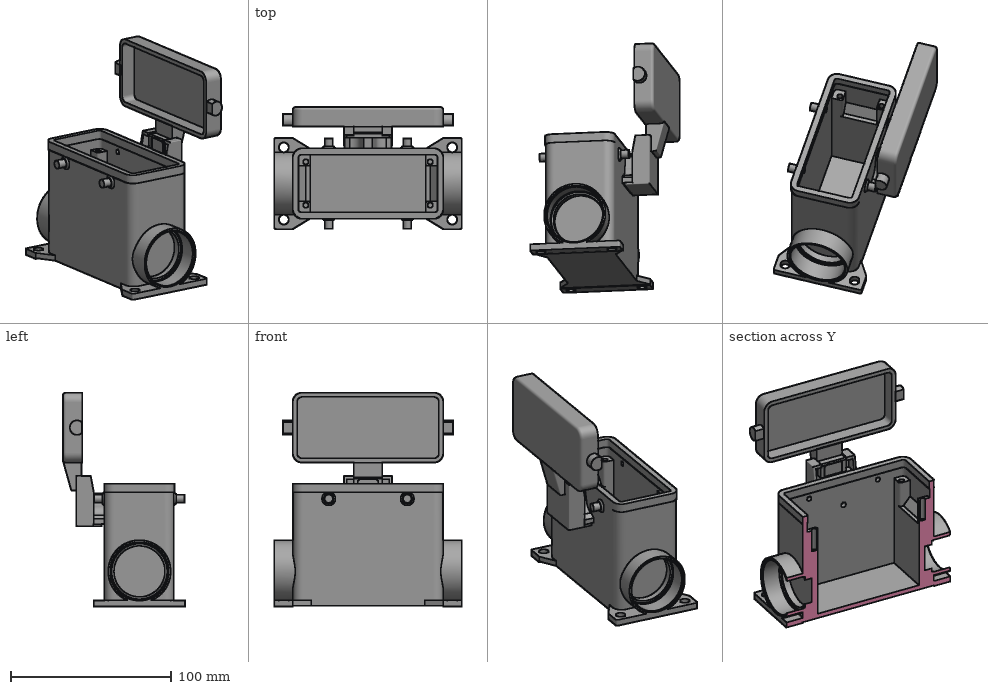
import cadquery as cq

BODY_LENGTH = 94.0
BODY_WIDTH = 44.0
BODY_CORNER_R = 6.0
BODY_BOTTOM_Z = 0.5
RIM_BOTTOM_Z = 71.25
RIM_TOP_Z = 76.75
FRONT_SETBACK = 0.5
SIDE_SETBACK = 0.1
FLOOR_Z = 4.0
OPENING_LENGTH = 86.5
OPENING_WIDTH = 35.75
OPENING_CORNER_R = 1.6
CAVITY_UNDERCUT = 0.25
CAVITY_CORNER_R = 2.5

OVERALL_LENGTH = 117.0
FLANGE_WIDTH = 57.0
FLANGE_TOP_Z = 4.0
FLANGE_CORNER_R = 1.2
FLANGE_TAPER_END_X = 35.5
MOUNT_HOLE_D = 6.0
MOUNT_HOLE_X = 52.5
MOUNT_HOLE_Y = 22.5

ENTRY_Z = 22.0
ENTRY_OUTER_R = 19.5
ENTRY_BORE_R = 17.6
ENTRY_MOUTH_CHAMFER = 0.7
ENTRY_INNER_R = 15.9
ENTRY_SEAT_R = 17.3
ENTRY_SEAT_X = 46.5
ENTRY_SHOULDER_X = 45.3
ENTRY_END_X = 40.5

POST_INNER_X = 36.0
POST_INNER_Y = 11.0
POST_TOP_Z = 65.0
POST_CORNER_R = 1.2
POST_HOLE_D = 3.3
POST_HOLE_X = 38.8
POST_HOLE_Y = 13.5
POST_HOLE_DEPTH = 15.0
RAMP_LOW_X = 38.75
RAMP_LOW_Z = 48.0
RAMP_HIGH_Z = 53.5

PIN_X = 24.5
PIN_Z = 67.3
PIN_R = 2.6
PIN_TIP_Y = 28.2
COLLAR_BASE_R = 4.2
COLLAR_TIP_R = 3.0
COLLAR_HEIGHT = 1.3
WALL_HOLE_D = 3.0
HINGE_HOLE_D = 3.4
HINGE_HOLE_Z = 56.0

BOSS_BASE_Z = 51.5
BOSS_TOP_Z = 70.7
BOSS_TOP_HALF = 2.8
BOSS_BASE_HALF = 14.7
BRACKET_WIDTH = 30.0
BRACKET_BACK_Y = 39.5
BRACKET_FRONT_Y = 28.4
BRACKET_TOP_FRONT_Y = 30.3
BRACKET_FOOT_Y = 23.5
BRACKET_BOTTOM_Z = 50.0
BRACKET_TOP_Z = 81.5
BRACKET_SLOPE_Z = 71.2
BRACKET_SIDE_WALL = 1.8
BRACKET_EAR_THICKNESS = 2.0
BRACKET_EDGE_R = 0.4
POCKET_BACK_Y = 35.0
WEB_HALF = 9.0
WEB_TOP_Z = 80.6
WEB_FRONT_Y = 31.0
WEB_TOP_CHAMFER = 0.9
RECESS_WIDTH = 12.5
RECESS_TOP_Z = 79.4
RECESS_CORNER = 1.0
RECESS_BACK_Y = 31.6

COVER_TOP_Z = 133.5
COVER_HEIGHT = 43.75
COVER_FRONT_Y = 35.5
COVER_BACK_Y = 47.75
COVER_WALL = 2.75
COVER_CAVITY_DEPTH = 9.0
COVER_BACK_EDGE_R = 2.0
LUG_SPAN = 106.0
LUG_R = 4.5
LUG_Y = 38.9
LUG_FLAT_Y = 36.05
TONGUE_WIDTH = 18.0
TONGUE_FRONT_Y = 36.1
TONGUE_BOTTOM_Z = 72.3
TONGUE_BOTTOM_BACK_Y = 42.5
TONGUE_TOP_Z = 91.0
TONGUE_EDGE_R = 0.7

BODY_HALF_LENGTH = BODY_LENGTH / 2
BODY_HALF_WIDTH = BODY_WIDTH / 2
FRONT_FACE_Y = -(BODY_HALF_WIDTH - FRONT_SETBACK)
CAVITY_LENGTH = OPENING_LENGTH + 2 * CAVITY_UNDERCUT
CAVITY_WIDTH = OPENING_WIDTH + 2 * CAVITY_UNDERCUT
HALF_LENGTH = OVERALL_LENGTH / 2
COVER_MID_Z = COVER_TOP_Z - COVER_HEIGHT / 2
SIDES = (-1, 1)


def block(x_range, y_range, z_range):
    """Box between two limits on each axis."""
    (x0, x1), (y0, y1), (z0, z1) = x_range, y_range, z_range
    return cq.Workplane("XY").box(x1 - x0, y1 - y0, z1 - z0, centered=False).translate((x0, y0, z0))


def rounded_block(length, y_range, z_range, radius):
    """Box centred on X with rounded vertical edges."""
    return block((-length / 2, length / 2), y_range, z_range).edges("|Z").fillet(radius)


def rod(axis, start, end, radius):
    """Cylinder between two points that lie along the given axis direction."""
    length = (cq.Vector(*end) - cq.Vector(*start)).Length
    return cq.Workplane(obj=cq.Solid.makeCylinder(radius, length, cq.Vector(*start), cq.Vector(*axis)))


def along_x(profile, width):
    """Extrude a closed list of (y, z) points, centred on X."""
    return cq.Workplane("YZ").polyline(profile).close().extrude(width / 2, both=True)


def make_shell():
    lower = rounded_block(
        BODY_LENGTH - 2 * SIDE_SETBACK,
        (FRONT_FACE_Y, BODY_HALF_WIDTH),
        (BODY_BOTTOM_Z, RIM_BOTTOM_Z),
        BODY_CORNER_R,
    )
    rim = rounded_block(
        BODY_LENGTH, (-BODY_HALF_WIDTH, BODY_HALF_WIDTH), (RIM_BOTTOM_Z, RIM_TOP_Z), BODY_CORNER_R
    )
    return lower.union(rim)


def make_cavity():
    cavity = rounded_block(
        CAVITY_LENGTH, (-CAVITY_WIDTH / 2, CAVITY_WIDTH / 2), (FLOOR_Z, RIM_BOTTOM_Z), CAVITY_CORNER_R
    )
    opening = rounded_block(
        OPENING_LENGTH, (-OPENING_WIDTH / 2, OPENING_WIDTH / 2), (RIM_BOTTOM_Z, RIM_TOP_Z), OPENING_CORNER_R
    )
    return cavity.union(opening)


def make_flange(side):
    """End flange; its foot beyond the body drops slightly below the body."""
    half = FLANGE_WIDTH / 2
    inner_y = -FRONT_FACE_Y
    plate = (
        cq.Workplane("XY")
        .polyline([
            (FLANGE_TAPER_END_X, -inner_y),
            (BODY_HALF_LENGTH, -half),
            (HALF_LENGTH, -half),
            (HALF_LENGTH, half),
            (BODY_HALF_LENGTH, half),
            (FLANGE_TAPER_END_X, inner_y),
        ])
        .close()
        .extrude(FLANGE_TOP_Z)
        .edges("|Z and >X")
        .fillet(FLANGE_CORNER_R)
    )
    relief = block((0, BODY_HALF_LENGTH), (-half, half), (0, BODY_BOTTOM_Z))
    holes = (
        cq.Workplane("XY")
        .pushPoints([(MOUNT_HOLE_X, y * MOUNT_HOLE_Y) for y in SIDES])
        .circle(MOUNT_HOLE_D / 2)
        .extrude(FLANGE_TOP_Z)
    )
    flange = plate.cut(relief).cut(holes)
    return flange if side > 0 else flange.mirror("YZ")


def make_entry_tube(side):
    """Round cable entry, rooted in the end wall as far as the rounded corners reach."""
    root = (side * (BODY_HALF_LENGTH - BODY_CORNER_R), 0, ENTRY_Z)
    return rod((side, 0, 0), root, (side * HALF_LENGTH, 0, ENTRY_Z), ENTRY_OUTER_R)


def make_entry_bore(side):
    """Stepped blind bore with a chamfered mouth, turned about the entry axis."""
    mouth_x = HALF_LENGTH - ENTRY_MOUTH_CHAMFER
    bore = (
        cq.Workplane("XY")
        .polyline([
            (ENTRY_END_X, 0),
            (ENTRY_END_X, ENTRY_INNER_R),
            (ENTRY_SHOULDER_X, ENTRY_INNER_R),
            (ENTRY_SHOULDER_X, ENTRY_SEAT_R),
            (ENTRY_SEAT_X, ENTRY_SEAT_R),
            (ENTRY_SEAT_X, ENTRY_BORE_R),
            (mouth_x, ENTRY_BORE_R),
            (HALF_LENGTH, ENTRY_BORE_R + ENTRY_MOUTH_CHAMFER),
            (HALF_LENGTH, 0),
        ])
        .close()
        .revolve(360, (0, 0, 0), (1, 0, 0))
        .translate((0, 0, ENTRY_Z))
    )
    return bore if side > 0 else bore.mirror("YZ")


def make_end_structure(side):
    """Two corner posts joined by a wall with a ramped top, inside one end of the cavity."""
    wall_x = CAVITY_LENGTH / 2
    wall = (
        cq.Workplane("XZ")
        .polyline([
            (POST_INNER_X, BODY_BOTTOM_Z),
            (wall_x, BODY_BOTTOM_Z),
            (wall_x, RAMP_HIGH_Z),
            (RAMP_LOW_X, RAMP_LOW_Z),
            (POST_INNER_X, RAMP_LOW_Z),
        ])
        .close()
        .extrude(CAVITY_WIDTH / 2, both=True)
    )
    for y_side in SIDES:
        y_limits = sorted((y_side * POST_INNER_Y, y_side * CAVITY_WIDTH / 2))
        post = block((POST_INNER_X, wall_x), y_limits, (BODY_BOTTOM_Z, POST_TOP_Z))
        post = post.edges("|Z and <X and " + ("<Y" if y_side > 0 else ">Y")).fillet(POST_CORNER_R)
        wall = wall.union(post)
    holes = (
        cq.Workplane("XY")
        .workplane(offset=POST_TOP_Z)
        .pushPoints([(POST_HOLE_X, y * POST_HOLE_Y) for y in SIDES])
        .circle(POST_HOLE_D / 2)
        .extrude(-POST_HOLE_DEPTH)
    )
    envelope = rounded_block(
        CAVITY_LENGTH, (-CAVITY_WIDTH / 2, CAVITY_WIDTH / 2), (BODY_BOTTOM_Z, POST_TOP_Z), CAVITY_CORNER_R
    )
    structure = wall.cut(holes)
    if side < 0:
        structure = structure.mirror("YZ")
    return structure.intersect(envelope)


def make_pin(x, y_side):
    """Locking pin with a conical collar, standing on the front or the back face."""
    face_y = FRONT_FACE_Y if y_side < 0 else BODY_HALF_WIDTH
    direction = cq.Vector(0, y_side, 0)
    base = cq.Vector(x, face_y, PIN_Z)
    pin = cq.Solid.makeCylinder(PIN_R, PIN_TIP_Y - abs(face_y), base, direction)
    collar = cq.Solid.makeCone(COLLAR_BASE_R, COLLAR_TIP_R, COLLAR_HEIGHT, base, direction)
    return cq.Workplane(obj=pin.fuse(collar))


def make_wall_holes():
    """Holes behind the locking pins, and one more that reaches the hinge boss."""
    inner_y = CAVITY_WIDTH / 2
    holes = rod((0, 1, 0), (0, inner_y, HINGE_HOLE_Z), (0, BODY_HALF_WIDTH, HINGE_HOLE_Z), HINGE_HOLE_D / 2)
    for x_side in SIDES:
        x = x_side * PIN_X
        holes = holes.union(
            rod((0, 1, 0), (x, FRONT_FACE_Y, PIN_Z), (x, -inner_y, PIN_Z), WALL_HOLE_D / 2)
        ).union(
            rod((0, 1, 0), (x, inner_y, PIN_Z), (x, BODY_HALF_WIDTH, PIN_Z), WALL_HOLE_D / 2)
        )
    return holes


def make_hinge_boss():
    """Bell-shaped boss joining the back wall to the bracket."""
    half = BOSS_BASE_HALF
    shoulder = (11.3, 57.0)
    waist = (4.9, 63.0)
    curve_mid = (7.0, 58.6)
    side_top_z = 54.8
    return (
        cq.Workplane("XZ", origin=(0, BRACKET_FRONT_Y, 0))
        .moveTo(-half, BOSS_BASE_Z)
        .lineTo(half, BOSS_BASE_Z)
        .lineTo(half, side_top_z)
        .lineTo(*shoulder)
        .threePointArc(curve_mid, waist)
        .lineTo(BOSS_TOP_HALF, BOSS_TOP_Z)
        .lineTo(-BOSS_TOP_HALF, BOSS_TOP_Z)
        .lineTo(-waist[0], waist[1])
        .threePointArc((-curve_mid[0], curve_mid[1]), (-shoulder[0], shoulder[1]))
        .lineTo(-half, side_top_z)
        .close()
        .extrude(BRACKET_FRONT_Y - BODY_HALF_WIDTH)
    )


def make_bracket():
    """Hinge bracket: two hollow ears beside a recessed web, with a foot under the boss."""
    half = BRACKET_WIDTH / 2
    bracket = along_x(
        [
            (BRACKET_BACK_Y, BRACKET_BOTTOM_Z),
            (BRACKET_BACK_Y, BRACKET_TOP_Z),
            (BRACKET_TOP_FRONT_Y, BRACKET_TOP_Z),
            (BRACKET_FRONT_Y, BRACKET_SLOPE_Z),
            (BRACKET_FRONT_Y, BOSS_BASE_Z),
            (BRACKET_FOOT_Y, BOSS_BASE_Z),
            (BRACKET_FOOT_Y, BRACKET_BOTTOM_Z),
        ],
        BRACKET_WIDTH,
    )
    bracket = bracket.faces("<X or >X").edges().fillet(BRACKET_EDGE_R)

    bracket = bracket.cut(
        block((-WEB_HALF, WEB_HALF), (0, WEB_FRONT_Y), (BRACKET_SLOPE_Z, BRACKET_TOP_Z))
    ).cut(
        block((-WEB_HALF, WEB_HALF), (0, BRACKET_BACK_Y), (WEB_TOP_Z, BRACKET_TOP_Z))
    )
    bevel = along_x(
        [
            (WEB_FRONT_Y, WEB_TOP_Z),
            (WEB_FRONT_Y + WEB_TOP_CHAMFER, WEB_TOP_Z),
            (WEB_FRONT_Y, WEB_TOP_Z - WEB_TOP_CHAMFER),
        ],
        2 * WEB_HALF,
    )
    bracket = bracket.cut(bevel)
    pocket_outer = half - BRACKET_SIDE_WALL
    for side in SIDES:
        x_limits = sorted((side * WEB_HALF, side * pocket_outer))
        bracket = bracket.cut(
            block(x_limits, (0, POCKET_BACK_Y), (BRACKET_SLOPE_Z, BRACKET_TOP_Z - BRACKET_EAR_THICKNESS))
        )
    recess = block(
        (-RECESS_WIDTH / 2, RECESS_WIDTH / 2), (WEB_FRONT_Y, RECESS_BACK_Y), (BRACKET_SLOPE_Z, RECESS_TOP_Z)
    )
    recess = recess.faces(">Z").edges("|Y").chamfer(RECESS_CORNER)
    return bracket.cut(recess)


def make_tongue():
    """Tapered arm below the cover that sits in the hinge bracket."""
    tongue = along_x(
        [
            (TONGUE_FRONT_Y, TONGUE_BOTTOM_Z),
            (TONGUE_BOTTOM_BACK_Y, TONGUE_BOTTOM_Z),
            (COVER_BACK_Y, TONGUE_TOP_Z),
            (TONGUE_FRONT_Y, TONGUE_TOP_Z),
        ],
        TONGUE_WIDTH,
    )
    return tongue.faces(">Y").edges("not >Z").fillet(TONGUE_EDGE_R)


def make_cover_lugs():
    """Round locking lugs on both ends, cut flat toward the open side."""
    lugs = rod((1, 0, 0), (-LUG_SPAN / 2, LUG_Y, COVER_MID_Z), (LUG_SPAN / 2, LUG_Y, COVER_MID_Z), LUG_R)
    flat = block(
        (-LUG_SPAN / 2, LUG_SPAN / 2), (LUG_Y - LUG_R, LUG_FLAT_Y), (COVER_MID_Z - LUG_R, COVER_MID_Z + LUG_R)
    )
    return lugs.cut(flat)


def make_cover():
    depth = COVER_BACK_Y - COVER_FRONT_Y
    front_plane = cq.Workplane("XZ", origin=(0, COVER_FRONT_Y, COVER_MID_Z))
    tray = front_plane.rect(BODY_LENGTH, COVER_HEIGHT).extrude(-depth)
    tray = tray.edges("|Y").fillet(BODY_CORNER_R).faces(">Y").edges().fillet(COVER_BACK_EDGE_R)
    cavity = (
        front_plane.rect(BODY_LENGTH - 2 * COVER_WALL, COVER_HEIGHT - 2 * COVER_WALL)
        .extrude(-COVER_CAVITY_DEPTH)
        .edges("|Y")
        .fillet(BODY_CORNER_R - COVER_WALL)
    )
    return tray.union(make_cover_lugs()).union(make_tongue()).cut(cavity)


def make_housing():
    housing = make_shell()
    for side in SIDES:
        housing = housing.union(make_flange(side)).union(make_entry_tube(side))
    housing = housing.cut(make_cavity())
    for side in SIDES:
        housing = housing.union(make_end_structure(side)).cut(make_entry_bore(side))
    housing = housing.cut(make_wall_holes())
    for side in SIDES:
        for y_side in SIDES:
            housing = housing.union(make_pin(side * PIN_X, y_side))
    bracket = make_bracket().cut(make_tongue())
    return housing.union(make_hinge_boss()).union(bracket)


housing = make_housing()
cover = make_cover()

result = cq.Compound.makeCompound([housing.val(), cover.val()])